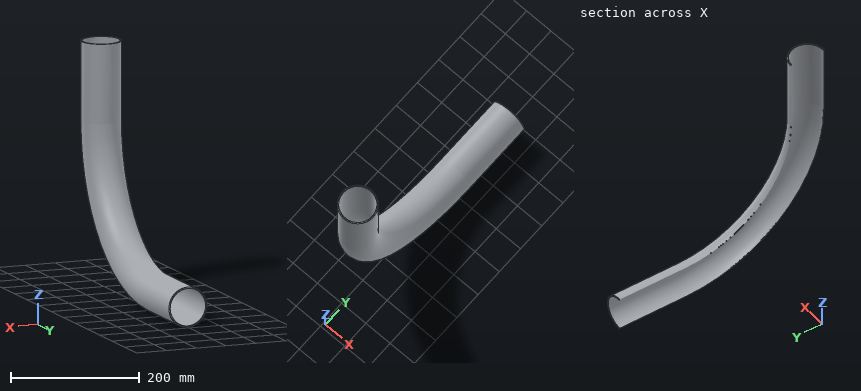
import cadquery as cq
import math

overall_size = 387.5
outer_diameter = 63.5
inner_diameter = 59.3
bend_radius = 228.5

centreline_reach = overall_size - outer_diameter / 2
arc_offset = bend_radius * (1 - math.cos(math.radians(45)))

centreline = (
    cq.Workplane("YZ")
    .moveTo(0, centreline_reach)
    .lineTo(0, bend_radius)
    .threePointArc((arc_offset, arc_offset), (bend_radius, 0))
    .lineTo(centreline_reach, 0)
)

result = (
    cq.Workplane("XY", origin=(0, 0, centreline_reach))
    .circle(outer_diameter / 2)
    .circle(inner_diameter / 2)
    .sweep(centreline)
)